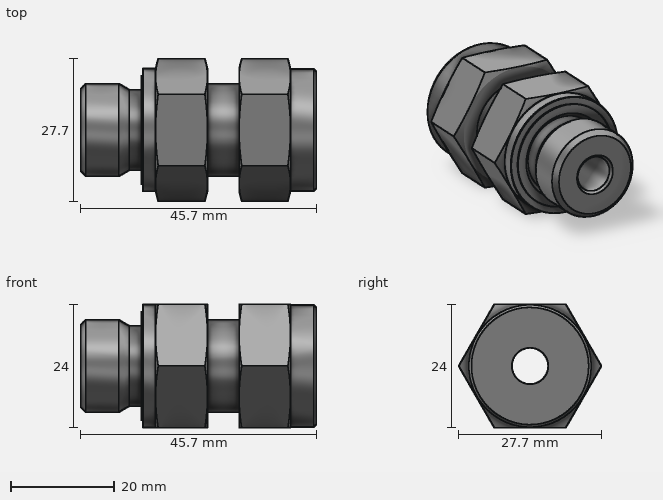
import cadquery as cq
import math


stud_radius = 9.0
stud_chamfer = 1.0
undercut_radius = 7.85
undercut_taper_start = 7.4
undercut_taper_angle = 30.0
stud_length = 12.0

rim_height = 0.3
rim_outer_radius = 10.5
rim_inner_radius = 8.7
rim_countersink_angle = 45.0
collar_radius = 11.95
collar_length = 2.5
collar_chamfer = 0.1

hex_width = 24.0
hex_chamfer_angle = 15.0
hex_chamfer_radius = 11.9
body_hex_end = 24.6
nut_hex_length = 10.0

nut_start = 30.7
nut_length = 15.0
nut_skirt_radius = 11.87
nut_skirt_chamfer = 0.5

neck_radius = stud_radius

bore_radius = 3.5
bore_chamfer = 0.5

collar_end = stud_length + collar_length
nut_hex_end = nut_start + nut_hex_length
nut_end = nut_start + nut_length
neck_end = nut_hex_end
hex_corner_radius = hex_width / 2 / math.cos(math.radians(30))


def revolve_about_x(profile_points):
    """Turn a closed (x, radius) profile about the X axis."""
    return (
        cq.Workplane("XY")
        .polyline(profile_points)
        .close()
        .revolve(360, (0, 0, 0), (1, 0, 0))
    )


def cone_length(outer_radius, inner_radius, angle):
    """Length along X of a cone running between two radii at an angle to the axis."""
    return (outer_radius - inner_radius) / math.tan(math.radians(angle))


def cylinder(start, end, radius):
    return revolve_about_x([(start, 0), (start, radius), (end, radius), (end, 0)])


def chamfered_hexagon(start, end):
    """Hexagon with flats facing +Z and -Z, its corners turned off conically at both ends."""
    prism = (
        cq.Workplane("YZ", origin=(start, 0, 0))
        .polygon(6, 2 * hex_corner_radius)
        .extrude(end - start)
    )
    drop = (hex_corner_radius - hex_chamfer_radius) * math.tan(math.radians(hex_chamfer_angle))
    envelope = revolve_about_x([
        (start, 0),
        (start, hex_chamfer_radius),
        (start + drop, hex_corner_radius),
        (end - drop, hex_corner_radius),
        (end, hex_chamfer_radius),
        (end, 0),
    ])
    return prism.intersect(envelope)


def make_body():
    taper_run = cone_length(stud_radius, undercut_radius, undercut_taper_angle)
    rim_face = stud_length - rim_height
    rim_cone_depth = cone_length(rim_inner_radius, undercut_radius, rim_countersink_angle)
    stud_and_collar = revolve_about_x([
        (0, 0),
        (0, stud_radius - stud_chamfer),
        (stud_chamfer, stud_radius),
        (undercut_taper_start, stud_radius),
        (undercut_taper_start + taper_run, undercut_radius),
        (rim_face + rim_cone_depth, undercut_radius),
        (rim_face, rim_inner_radius),
        (rim_face, rim_outer_radius),
        (stud_length, rim_outer_radius),
        (stud_length, collar_radius - collar_chamfer),
        (stud_length + collar_chamfer, collar_radius),
        (collar_end, collar_radius),
        (collar_end, 0),
    ])
    hexagon = chamfered_hexagon(collar_end, body_hex_end)
    neck = cylinder(body_hex_end, neck_end, neck_radius)
    bore = cylinder(0, neck_end, bore_radius)
    countersink = revolve_about_x([
        (0, 0),
        (0, bore_radius + bore_chamfer),
        (bore_chamfer, bore_radius),
        (bore_chamfer, 0),
    ])
    return stud_and_collar.union(hexagon).union(neck).cut(bore).cut(countersink)


def make_nut():
    hexagon = chamfered_hexagon(nut_start, nut_hex_end)
    skirt = revolve_about_x([
        (nut_hex_end, 0),
        (nut_hex_end, nut_skirt_radius),
        (nut_end - nut_skirt_chamfer, nut_skirt_radius),
        (nut_end, nut_skirt_radius - nut_skirt_chamfer),
        (nut_end, 0),
    ])
    neck_socket = cylinder(nut_start, neck_end, neck_radius)
    bore = cylinder(neck_end, nut_end, bore_radius)
    return hexagon.union(skirt).cut(neck_socket).cut(bore)


body = make_body()
nut = make_nut()

result = cq.Compound.makeCompound([body.val(), nut.val()])